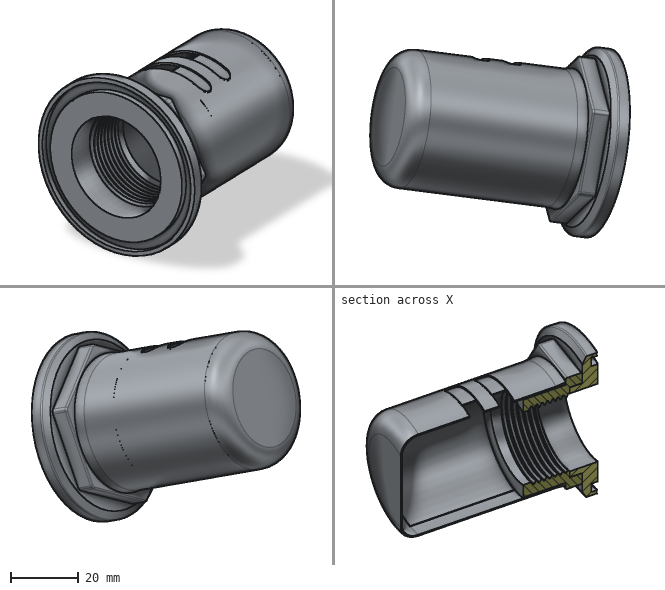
import cadquery as cq
import math


flange_diameter = 56.65
flange_back = 5.3
rim_inset = 0.2
rim_edge = 3.85
rim_cone_angle = 30
rim_edge_fillet = 0.5
groove_outer_radius = 26.9
groove_inner_radius = 23.85
groove_depth = 2.0
bore_radius = 16.15
spigot_radius = 18.6
spigot_end = 9.5

hex_across_flats = 44.0
hex_back = 10.8
hex_corner_fillet = 1.5
hex_edge_fillet = 0.5
tube_end = 25.25
thread_minor_radius = 15.15
thread_lead_length = 0.6
thread_depth = 1.1
thread_pitch = 1.8
thread_mouth = 1.45
thread_root = 0.25
thread_overlap = 0.1
thread_start = 8.05
thread_turns = 8

cap_end = 66.4
cap_radius = 20.8
cap_wall = 0.65
cap_end_radius = 6.0
cap_flare_start = 14.1
cap_flare_radius = 21.1
slot_length = 25.0
slot_width = 5.0
slot_spacing = 10.0
first_slot_y = 30.6
slot_count = 2

liner_radius = 20.4

flange_radius = flange_diameter / 2
cone_length = flange_back - rim_edge
rim_cone_radius = flange_radius - cone_length / math.tan(math.radians(rim_cone_angle))
hex_across_corners = hex_across_flats / math.cos(math.radians(30))
cap_inner_radius = cap_radius - cap_wall
dome_start = cap_end - cap_end_radius
dome_inner_radius = cap_end_radius - cap_wall


def turned(profile):
    """Revolve a closed half profile, drawn in radius and y, about the Y axis."""
    return profile.close().revolve(360, (0, 0, 0), (0, 1, 0))


def cylinder(radius, start, end):
    """A solid cylinder on the Y axis from y = start to y = end."""
    return cq.Workplane("XZ", origin=(0, start, 0)).circle(radius).extrude(start - end)


def make_flange():
    """Clamp flange with a grooved front face and a spigot that enters the fitting."""
    disc = turned(
        cq.Workplane("XY")
        .moveTo(0, rim_inset)
        .lineTo(flange_radius, rim_inset)
        .lineTo(flange_radius, rim_edge)
        .lineTo(rim_cone_radius, flange_back)
        .lineTo(0, flange_back)
    )
    rim_corner = cq.selectors.BoxSelector(
        (-flange_radius - 0.65, rim_edge - 0.05, -flange_radius - 0.65),
        (flange_radius + 0.65, rim_edge + 0.05, flange_radius + 0.65),
        boundingbox=True,
    )
    disc = disc.edges(rim_corner).fillet(rim_edge_fillet)
    groove_floor = rim_inset + groove_depth
    groove = cylinder(groove_outer_radius, 0, groove_floor)
    raised_face = cylinder(groove_inner_radius, 0, groove_floor)
    spigot = cylinder(spigot_radius, 0, spigot_end)
    bore = cylinder(bore_radius, 0, spigot_end)
    return disc.cut(groove).union(raised_face).union(spigot).cut(bore)


def make_thread_turn():
    """One turn of the helical rib, trapezoid in section, that cuts the internal thread."""
    helix = cq.Wire.makeHelix(
        thread_pitch, thread_pitch, thread_minor_radius, cq.Vector(0, 0, 0), cq.Vector(0, 1, 0)
    )
    flank_slope = (thread_mouth - thread_root) / 2 / thread_depth
    half_inner = thread_mouth / 2 + flank_slope * thread_overlap
    half_root = thread_root / 2
    inner_radius = thread_minor_radius - thread_overlap
    major_radius = thread_minor_radius + thread_depth
    section = (
        cq.Workplane("YZ")
        .moveTo(-half_inner, inner_radius)
        .lineTo(-half_root, major_radius)
        .lineTo(half_root, major_radius)
        .lineTo(half_inner, inner_radius)
        .close()
    )
    return section.sweep(cq.Workplane("XY").newObject([helix]), isFrenet=True)


def make_fitting():
    """Hexagon seated on the flange, with a threaded tube that carries the cap."""
    hexagon = (
        cq.Workplane("XZ", origin=(0, flange_back, 0))
        .polygon(6, hex_across_corners)
        .extrude(flange_back - hex_back)
        .edges("|Y")
        .fillet(hex_corner_fillet)
        .faces("<Y or >Y")
        .edges()
        .fillet(hex_edge_fillet)
    )
    tube = cylinder(cap_inner_radius, hex_back - 0.65, tube_end)
    socket = cylinder(spigot_radius, flange_back, spigot_end)
    lead_end = spigot_end + thread_lead_length
    bore = turned(
        cq.Workplane("XY")
        .moveTo(0, spigot_end)
        .lineTo(bore_radius, spigot_end)
        .lineTo(thread_minor_radius, lead_end)
        .lineTo(thread_minor_radius, tube_end)
        .lineTo(0, tube_end)
    )
    fitting = hexagon.union(tube).cut(socket).cut(bore)
    turn = make_thread_turn()
    for i in range(thread_turns):
        fitting = fitting.cut(turn.translate((0, thread_start + i * thread_pitch, 0)))
    return fitting


def make_cap():
    """Thin domed cap, flared at its foot, with two slots through its upper wall."""
    outside = turned(
        cq.Workplane("XY")
        .moveTo(0, hex_back)
        .lineTo(cap_flare_radius, hex_back)
        .lineTo(cap_radius, cap_flare_start)
        .lineTo(cap_radius, dome_start)
        .radiusArc((cap_radius - cap_end_radius, cap_end), -cap_end_radius)
        .lineTo(0, cap_end)
    )
    inside = turned(
        cq.Workplane("XY")
        .moveTo(0, hex_back)
        .lineTo(cap_inner_radius, hex_back)
        .lineTo(cap_inner_radius, dome_start)
        .radiusArc((cap_radius - cap_end_radius, cap_end - cap_wall), -dome_inner_radius)
        .lineTo(0, cap_end - cap_wall)
    )
    slot_places = [(0, first_slot_y + i * slot_spacing) for i in range(slot_count)]
    slots = (
        cq.Workplane("XY").pushPoints(slot_places).slot2D(slot_length, slot_width).extrude(cap_radius)
    )
    return outside.cut(inside).cut(slots)


def make_liner():
    """Thin half tube let into the cap wall on the +X side, from the fitting to the dome."""
    return (
        cq.Workplane("XZ", origin=(0, tube_end, 0))
        .moveTo(0, -liner_radius)
        .radiusArc((0, liner_radius), -liner_radius)
        .lineTo(0, cap_inner_radius)
        .radiusArc((0, -cap_inner_radius), cap_inner_radius)
        .close()
        .extrude(tube_end - dome_start)
    )


flange = make_flange()
fitting = make_fitting()
liner = make_liner()
cap = make_cap().cut(liner)

result = cq.Compound.makeCompound([flange.val(), fitting.val(), cap.val(), liner.val()])